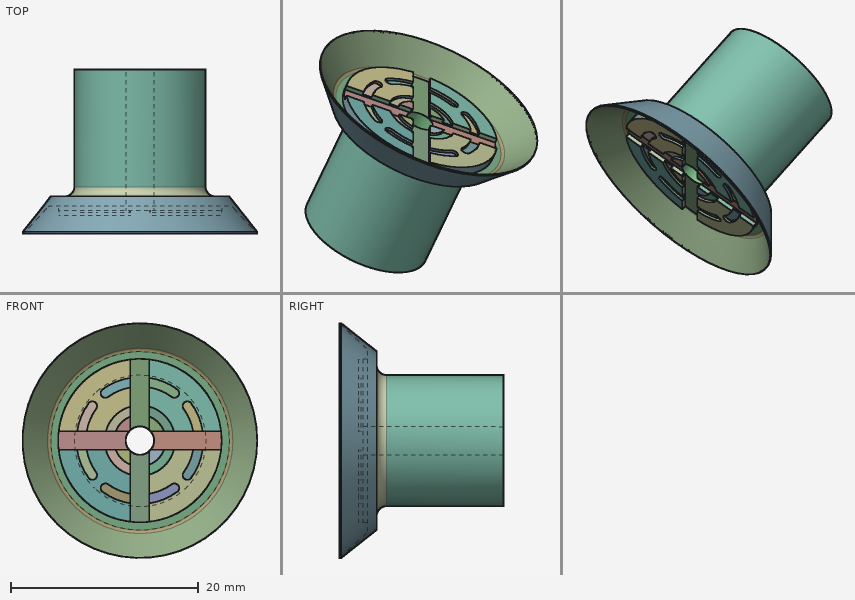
import cadquery as cq
import math

total_length = 17.5
stem_radius = 7.0
stem_fillet = 1.0
bore_radius = 1.5

rim_radius = 12.5
rim_land = 0.2
cup_back_y = 4.0
cup_back_radius = 9.5
floor_y = 3.0
floor_radius = 9.5
floor_fillet = 0.5

pad_radius = 8.7
pad_height = 1.0
pad_face_y = floor_y - pad_height

cross_width = 2.0
cross_depth = pad_height / 2
channel_width = 1.0
channel_depth = 0.3
inner_channel_radius = 3.25
outer_channel_radius = 6.25
outer_channel_half_angle = 36.0


def cylinder(radius, y_start, length):
    """Solid cylinder on the Y axis, running toward +Y from y_start."""
    return cq.Workplane("XZ", origin=(0, y_start, 0)).circle(radius).extrude(-length)


def make_body():
    """Stem and flared cup, revolved from a half section in the XY plane."""
    fillet_edge = stem_radius + stem_fillet
    fillet_mid = fillet_edge - stem_fillet * math.cos(math.pi / 4)
    fillet_mid_y = cup_back_y + stem_fillet * (1 - math.sin(math.pi / 4))

    floor_fillet_y = floor_y - floor_fillet
    to_rim_x = rim_radius - floor_radius
    to_rim_y = -floor_fillet_y
    rim_direction = math.atan2(to_rim_y, to_rim_x)
    tangent_angle = rim_direction + math.acos(floor_fillet / math.hypot(to_rim_x, to_rim_y))

    def floor_fillet_point(angle):
        x = floor_radius + floor_fillet * math.cos(angle)
        y = floor_fillet_y + floor_fillet * math.sin(angle)
        return (x, y)

    floor_fillet_mid = floor_fillet_point((math.pi / 2 + tangent_angle) / 2)
    floor_fillet_end = floor_fillet_point(tangent_angle)

    section = (
        cq.Workplane("XY")
        .moveTo(0, floor_y)
        .lineTo(floor_radius, floor_y)
        .threePointArc(floor_fillet_mid, floor_fillet_end)
        .lineTo(rim_radius, 0)
        .lineTo(rim_radius, rim_land)
        .lineTo(cup_back_radius, cup_back_y)
        .lineTo(fillet_edge, cup_back_y)
        .threePointArc((fillet_mid, fillet_mid_y), (stem_radius, cup_back_y + stem_fillet))
        .lineTo(stem_radius, total_length)
        .lineTo(0, total_length)
        .close()
    )
    return section.revolve(360, (0, 0, 0), (0, 1, 0))


def ring_channel(mid_radius):
    """Full ring cut, sunk into the pad face."""
    outer = cylinder(mid_radius + channel_width / 2, pad_face_y, channel_depth)
    inner = cylinder(mid_radius - channel_width / 2, pad_face_y, channel_depth)
    return outer.cut(inner)


def arc_channel(mid_radius, half_angle, turn):
    """Round-ended arc cut centred on +Z, turned about the Y axis by `turn` degrees."""
    sweep = math.radians(half_angle)
    end_radius = channel_width / 2
    r_out = mid_radius + end_radius
    r_in = mid_radius - end_radius

    def polar(radius, angle):
        return (radius * math.sin(angle), radius * math.cos(angle))

    def cap_tip(side):
        x, z = polar(mid_radius, side * sweep)
        return (x + side * end_radius * math.cos(sweep), z - end_radius * math.sin(sweep))

    channel = (
        cq.Workplane("XZ", origin=(0, pad_face_y, 0))
        .moveTo(*polar(r_out, -sweep))
        .threePointArc((0, r_out), polar(r_out, sweep))
        .threePointArc(cap_tip(1), polar(r_in, sweep))
        .threePointArc((0, r_in), polar(r_in, -sweep))
        .threePointArc(cap_tip(-1), polar(r_out, -sweep))
        .close()
        .extrude(-channel_depth)
    )
    return channel.rotate((0, 0, 0), (0, 1, 0), turn)


def cross_grooves():
    """Two straight grooves crossing the whole pad."""
    length = 2 * pad_radius
    y_mid = pad_face_y + cross_depth / 2
    across = cq.Workplane("XY").box(length, cross_depth, cross_width)
    upright = cq.Workplane("XY").box(cross_width, cross_depth, length)
    return across.union(upright).translate((0, y_mid, 0))


def make_pad():
    """Round pad with its ring channel, four arc channels and crossed grooves."""
    pad = cylinder(pad_radius, pad_face_y, pad_height)
    pad = pad.cut(ring_channel(inner_channel_radius))
    for turn in (0, 90, 180, 270):
        pad = pad.cut(arc_channel(outer_channel_radius, outer_channel_half_angle, turn))
    return pad.cut(cross_grooves())


bore = cylinder(bore_radius, 0, total_length)
result = make_body().union(make_pad()).cut(bore)